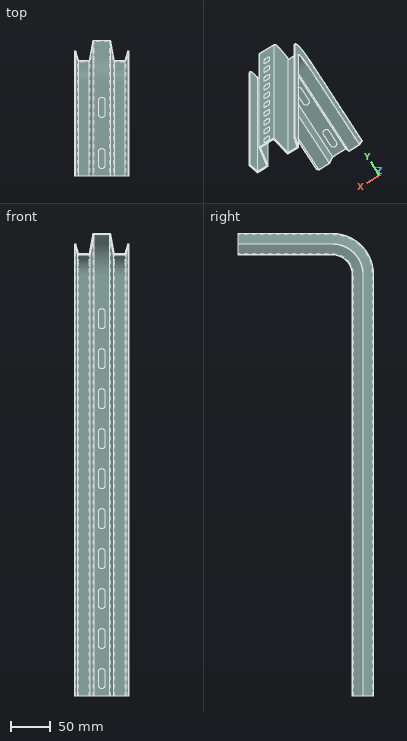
import cadquery as cq
import math

total_width = 68.09
total_reach = 169.7
total_height = 578.7

sheet_thickness = 1.5
section_depth = 26.8
lip_top_depth = 13.4
crown_width = 22.0
web_lean = 10.5
lip_lean = 16.0

inner_bend_radius = 24.8
outer_bend_radius = inner_bend_radius + section_depth
upright_length = total_height - outer_bend_radius
arm_length = total_reach - outer_bend_radius
bend_angle = 90.0

slot_length = 25.0
slot_width = 8.5
slot_depth = sheet_thickness / 2
end_to_first_slot = 22.0
upright_slot_count = 10
upright_slot_pitch = 50.0
arm_slot_count = 2
arm_slot_pitch = 64.0


def web_outer_x(depth):
    """Half-width of the web's outer face at a depth below the crown."""
    return crown_width / 2 + depth * math.tan(math.radians(web_lean))


def lip_outer_x(depth):
    """Half-width of the lip's outer face, widest at its free edge."""
    return total_width / 2 - (depth - lip_top_depth) * math.tan(math.radians(lip_lean))


def section_points():
    """Closed outline of the section, crown outer face on y = 0 and depth toward -Y."""
    web_wall = sheet_thickness / math.cos(math.radians(web_lean))
    lip_wall = sheet_thickness / math.cos(math.radians(lip_lean))
    flange_inside = section_depth - sheet_thickness
    right_half = [
        (crown_width / 2, 0),
        (web_outer_x(flange_inside), -flange_inside),
        (lip_outer_x(flange_inside) - lip_wall, -flange_inside),
        (
            lip_outer_x(lip_top_depth) - sheet_thickness * math.cos(math.radians(lip_lean)),
            -lip_top_depth + sheet_thickness * math.sin(math.radians(lip_lean)),
        ),
        (lip_outer_x(lip_top_depth), -lip_top_depth),
        (lip_outer_x(section_depth), -section_depth),
        (web_outer_x(section_depth) - web_wall, -section_depth),
        (web_outer_x(sheet_thickness) - web_wall, -sheet_thickness),
    ]
    left_half = [(-x, y) for x, y in reversed(right_half)]
    return right_half + left_half


def section_on(plane):
    """Section outline drawn on a plane, ready to extrude or revolve."""
    return cq.Workplane(plane).polyline(section_points()).close()


def make_upright():
    """Straight upright standing on Z = 0."""
    return section_on(cq.Plane.XY()).extrude(upright_length)


def make_bend():
    """Quarter turn from the upright (+Z) to the arm (-Y)."""
    bend_start = cq.Plane(origin=(0, 0, upright_length), xDir=(1, 0, 0), normal=(0, 0, 1))
    return section_on(bend_start).revolve(
        bend_angle, (0, -outer_bend_radius, 0), (1, -outer_bend_radius, 0)
    )


def make_arm():
    """Straight arm whose crown faces up."""
    arm_origin = (0, -outer_bend_radius, total_height)
    arm_start = cq.Plane(origin=arm_origin, xDir=(1, 0, 0), normal=(0, -1, 0))
    return section_on(arm_start).extrude(arm_length)


def slot_distances(count, pitch):
    """Distances of the slot centres from the free end."""
    return [end_to_first_slot + i * pitch for i in range(count)]


def slot_cutters(plane, centres):
    """Blind slots running along local Y, cut from the plane against its normal."""
    return (
        cq.Workplane(plane)
        .pushPoints(centres)
        .slot2D(slot_length, slot_width, 90)
        .extrude(-slot_depth)
    )


def upright_slots():
    """Slots in the crown's inner face, along the upright."""
    inner_face = cq.Plane(origin=(0, -sheet_thickness, 0), xDir=(1, 0, 0), normal=(0, -1, 0))
    centres = [(0, distance) for distance in slot_distances(upright_slot_count, upright_slot_pitch)]
    return slot_cutters(inner_face, centres)


def arm_slots():
    """Slots in the crown's outer face, along the arm."""
    outer_face = cq.Plane(origin=(0, -total_reach, total_height), xDir=(1, 0, 0), normal=(0, 0, 1))
    centres = [(0, distance) for distance in slot_distances(arm_slot_count, arm_slot_pitch)]
    return slot_cutters(outer_face, centres)


channel = make_upright().union(make_bend()).union(make_arm())
result = channel.cut(upright_slots()).cut(arm_slots())